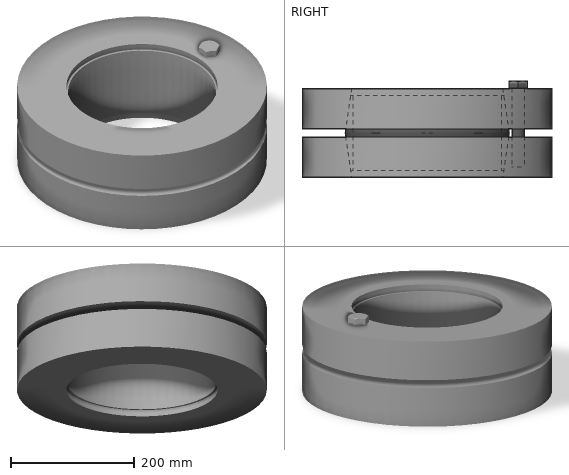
import cadquery as cq
import math

flange_diameter = 405.0
flange_height = 65.2
flange_gap = 13.5
bore_end_diameter = 245.0

ring_inner_diameter = 240.0
ring_max_diameter = 266.0
ring_recess = 11.5

bolt_offset = 147.5
shank_diameter = 20.0
shank_engagement = 48.5
washer_face_diameter = 27.5
washer_face_height = 1.0
head_height = 12.5
head_across_flats = 30.5
head_top_diameter = 29.5
head_chamfer_angle = 30.0

upper_flange_base = flange_height + flange_gap
stack_height = upper_flange_base + flange_height
mid_height = stack_height / 2
shank_end = flange_height - shank_engagement
hex_base = stack_height + washer_face_height
hex_height = head_height - washer_face_height
head_corner_diameter = head_across_flats / math.cos(math.radians(30))


def make_double_cone():
    """Solid double cone that bounds the flange bores and the outside of the seal ring."""
    end_radius = bore_end_diameter / 2
    return (
        cq.Workplane("XZ")
        .lineTo(end_radius, 0)
        .lineTo(ring_max_diameter / 2, mid_height)
        .lineTo(end_radius, stack_height)
        .lineTo(0, stack_height)
        .close()
        .revolve(360, (0, 0, 0), (0, 1, 0))
    )


def make_seal_ring():
    """Slice of the double cone, set back from both outer flange faces and bored through."""
    sleeve = (
        cq.Workplane("XY", origin=(0, 0, ring_recess))
        .circle(ring_max_diameter / 2)
        .circle(ring_inner_diameter / 2)
        .extrude(stack_height - 2 * ring_recess)
    )
    return make_double_cone().intersect(sleeve)


def make_shank():
    return (
        cq.Workplane("XY", origin=(0, bolt_offset, shank_end))
        .circle(shank_diameter / 2)
        .extrude(stack_height - shank_end)
    )


def make_flange(base):
    """Flange with a conical bore that seats the ring and a hole that fits the shank."""
    blank = (
        cq.Workplane("XY", origin=(0, 0, base))
        .circle(flange_diameter / 2)
        .extrude(flange_height)
    )
    return blank.cut(make_double_cone()).cut(make_shank())


def make_hex_head():
    """Hexagon, corners along X, with its top corners turned down to a cone."""
    corner_radius = head_corner_diameter / 2
    top_radius = head_top_diameter / 2
    chamfer_height = (corner_radius - top_radius) * math.tan(math.radians(head_chamfer_angle))
    hexagon = (
        cq.Workplane("XY", origin=(0, bolt_offset, hex_base))
        .polygon(6, head_corner_diameter)
        .extrude(hex_height)
    )
    turned_blank = (
        cq.Workplane("XZ", origin=(0, bolt_offset, hex_base))
        .lineTo(corner_radius, 0)
        .lineTo(corner_radius, hex_height - chamfer_height)
        .lineTo(top_radius, hex_height)
        .lineTo(0, hex_height)
        .close()
        .revolve(360, (0, 0, 0), (0, 1, 0))
    )
    return hexagon.intersect(turned_blank)


def make_bolt():
    """Shank and hexagon head, with a round washer face under the hexagon."""
    washer_face = (
        cq.Workplane("XY", origin=(0, bolt_offset, stack_height))
        .circle(washer_face_diameter / 2)
        .extrude(washer_face_height)
    )
    return make_shank().union(washer_face).union(make_hex_head())


flanges = [make_flange(base) for base in (0, upper_flange_base)]
seal_ring = make_seal_ring()
bolt = make_bolt()

result = cq.Compound.makeCompound(
    [*(flange.val() for flange in flanges), seal_ring.val(), bolt.val()]
)